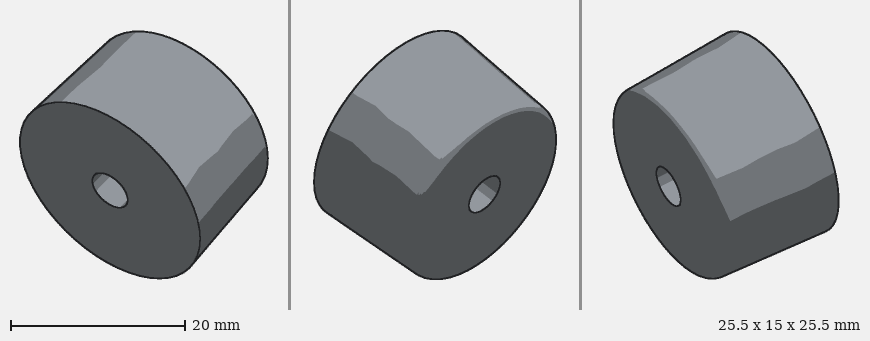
import cadquery as cq

base_diameter = 25.5
tip_diameter = 24.0
length = 15.0
bore_diameter = 5.0
edge_radius = 1.0


def tapered_body():
    """Cone frustum along +Y, wide face at Y = 0, with a rounded rear rim."""
    outline = (
        cq.Workplane("XY")
        .lineTo(base_diameter / 2, 0)
        .lineTo(tip_diameter / 2, length)
        .lineTo(0, length)
        .close()
    )
    frustum = outline.revolve(360, (0, 0, 0), (0, 1, 0))
    return frustum.faces(">Y").edges().fillet(edge_radius)


def bore():
    """Straight cylinder along Y, running the full length of the body."""
    return cq.Workplane("XZ").circle(bore_diameter / 2).extrude(-length)


result = tapered_body().cut(bore())